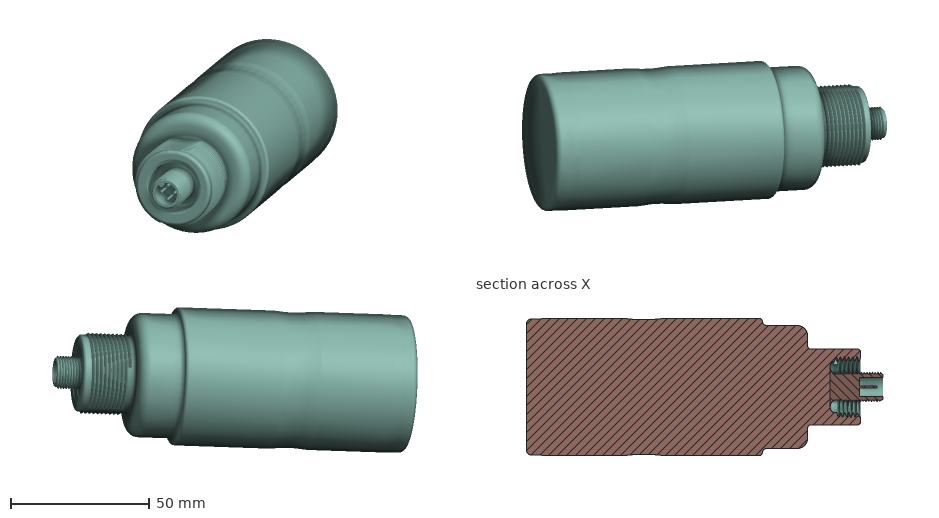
import cadquery as cq
import math


total_length = 129.15
plug_protrusion = 8.1
neck_length = 19.15
collar_length = 14.9
step_fillet = 1.5
body_edge_length = 1.2
waist_start = 79.6
waist_width = 14.0
taper_length = 8.65
rear_round = 2.0

body_radius = 25.0
waist_depth = 0.5
rear_radius = 24.83
collar_radius = 22.5
collar_round = 4.0
neck_radius = 14.0
neck_root_fillet = 1.0
neck_edge_round = 1.15
flat_width = 4.0
flat_distance = math.sqrt(neck_radius**2 - (flat_width / 2) ** 2)

neck_thread_pitch = 1.5
neck_thread_height = 1.1
neck_thread_base = 1.25
neck_thread_start = 10.525
neck_thread_turns = 9.75
neck_thread_angle = 90.0

bore_radius = 9.5
bore_depth = 11.0
bore_floor_fillet = 1.4
bore_thread_pitch = 1.5
bore_thread_depth = 1.7
bore_thread_base = 1.3
bore_thread_turns = 7
bore_thread_angle = -60.0

plug_core_radius = 5.4
plug_tip_chamfer = 0.35
plug_root_flare = 2.0
plug_thread_pitch = 1.0
plug_thread_height = 0.6
plug_thread_base = 0.8
plug_thread_start = 0.85
plug_thread_turns = 14
plug_thread_angle = -90.0
socket_radius = 4.15
socket_depth = 8.5
pin_radius = 0.5
pin_circle_radius = 2.5
pin_count = 4
pin_tip_round = 0.25
pin_tip_depth = 2.2
key_radius = 0.75
key_offset = 2.55

body_edge_depth = body_radius - collar_radius - step_fillet
body_edge_round = (body_edge_depth**2 + body_edge_length**2) / (2 * body_edge_depth)

neck_face = plug_protrusion
collar_face = neck_face + neck_length
collar_end = collar_face + collar_length
step_face = collar_end + step_fillet
rear_start = total_length - taper_length
bore_floor = neck_face + bore_depth

round_midpoint = math.sqrt(0.5)
thread_overlap = 0.1
selection_margin = 0.01


def helical_thread(radius, height, base, pitch, turns, start, start_angle):
    """Right-hand V thread on a cylinder; a positive height points outward from the axis.

    The base lies a little behind the cylinder so that the flanks cross its surface.
    """
    overlap = math.copysign(thread_overlap, height)
    root_half_width = base / 2 * (1 + thread_overlap / abs(height))
    path = cq.Wire.makeHelix(pitch, pitch * turns, radius)
    profile = (
        cq.Workplane("XZ")
        .moveTo(radius - overlap, -root_half_width)
        .lineTo(radius + height, 0)
        .lineTo(radius - overlap, root_half_width)
        .close()
    )
    thread = profile.sweep(cq.Workplane(obj=path), isFrenet=True)
    return thread.rotate((0, 0, 0), (0, 0, 1), start_angle).translate((0, 0, start))


def housing_shell():
    """Turned body: collar with rounded front, stepped shoulder, waisted barrel, tapered rear."""
    collar_mid = collar_round * (1 - round_midpoint)
    step_mid = step_fillet * (1 - round_midpoint)
    return (
        cq.Workplane("XZ")
        .moveTo(0, collar_face)
        .lineTo(collar_radius - collar_round, collar_face)
        .threePointArc(
            (collar_radius - collar_mid, collar_face + collar_mid),
            (collar_radius, collar_face + collar_round),
        )
        .lineTo(collar_radius, collar_end)
        .threePointArc(
            (collar_radius + step_mid, step_face - step_mid),
            (collar_radius + step_fillet, step_face),
        )
        .radiusArc((body_radius, step_face + body_edge_length), -body_edge_round)
        .lineTo(body_radius, waist_start)
        .threePointArc(
            (body_radius - waist_depth, waist_start + waist_width / 2),
            (body_radius, waist_start + waist_width),
        )
        .lineTo(body_radius, rear_start)
        .lineTo(rear_radius, total_length)
        .lineTo(0, total_length)
        .close()
        .revolve(360, (0, 0, 0), (0, 1, 0))
        .faces(">Z")
        .edges()
        .fillet(rear_round)
    )


def neck_between_flats(radius):
    """Round bar over the neck length, with two opposite flats."""
    bar = cq.Workplane("XY").workplane(offset=neck_face).circle(radius).extrude(neck_length)
    slab = (
        cq.Workplane("XY")
        .workplane(offset=neck_face)
        .rect(4 * neck_radius, 2 * flat_distance)
        .extrude(neck_length)
    )
    return bar.intersect(slab)


def make_housing():
    """Housing with its threaded neck and the blind threaded bore around the plug."""
    neck = neck_between_flats(neck_radius).faces("<Z").edges().fillet(neck_edge_round)
    body = housing_shell().union(neck)
    root_reach = neck_radius + neck_root_fillet
    root = cq.selectors.BoxSelector(
        (-root_reach, -root_reach, collar_face - selection_margin),
        (root_reach, root_reach, collar_face + selection_margin),
    )
    body = body.edges(root).fillet(neck_root_fillet)

    ridge = helical_thread(
        neck_radius, neck_thread_height, neck_thread_base, neck_thread_pitch,
        neck_thread_turns, neck_thread_start, neck_thread_angle,
    )
    ridge = ridge.intersect(neck_between_flats(2 * neck_radius))
    body = body.union(ridge)

    bore = (
        cq.Workplane("XY")
        .workplane(offset=neck_face)
        .circle(bore_radius)
        .extrude(bore_depth)
        .faces(">Z")
        .edges()
        .fillet(bore_floor_fillet)
    )
    groove = helical_thread(
        bore_radius, bore_thread_depth, bore_thread_base, bore_thread_pitch,
        bore_thread_turns, neck_face - bore_thread_pitch, bore_thread_angle,
    )
    return body.cut(bore).cut(groove)


def make_plug():
    """Threaded plug with a flared root, an open socket, contact pins and a coding key."""
    flare_mid = plug_root_flare * (1 - round_midpoint)
    stem = (
        cq.Workplane("XZ")
        .lineTo(plug_core_radius - plug_tip_chamfer, 0)
        .lineTo(plug_core_radius, plug_tip_chamfer)
        .lineTo(plug_core_radius, bore_floor - plug_root_flare)
        .threePointArc(
            (plug_core_radius + flare_mid, bore_floor - flare_mid),
            (plug_core_radius + plug_root_flare, bore_floor),
        )
        .lineTo(0, bore_floor)
        .close()
        .revolve(360, (0, 0, 0), (0, 1, 0))
    )
    ridge = helical_thread(
        plug_core_radius, plug_thread_height, plug_thread_base, plug_thread_pitch,
        plug_thread_turns, plug_thread_start, plug_thread_angle,
    )
    plug = stem.union(ridge)
    socket = cq.Workplane("XY").circle(socket_radius).extrude(socket_depth)
    plug = plug.cut(socket)

    contact_length = socket_depth - pin_tip_depth
    tip_plane = cq.Workplane("XY").workplane(offset=pin_tip_depth)
    pins = (
        tip_plane.polarArray(pin_circle_radius, 0, 360, pin_count)
        .circle(pin_radius)
        .extrude(contact_length)
        .faces("<Z")
        .edges()
        .fillet(pin_tip_round)
    )
    key = (
        tip_plane.center(-key_offset, -key_offset)
        .circle(key_radius)
        .extrude(contact_length)
    )
    return plug.union(pins).union(key)


def along_y(body):
    """Turn the build axis from +Z to +Y."""
    return body.rotate((0, 0, 0), (1, 0, 0), -90)


housing = along_y(make_housing())
plug = along_y(make_plug())

result = cq.Compound.makeCompound([housing.val(), plug.val()])